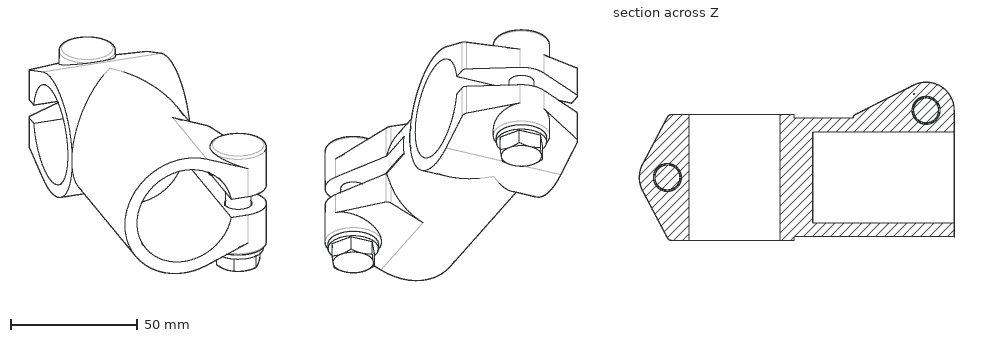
import cadquery as cq
import math


bore_diameter = 40.17
outer_radius = 50.4 / 2
head_width = 50.0
slot_width = 8.0

flank_angle = math.radians(22)
ear_corner_fillet = 2.0

boss_radius = 22.4 / 2
boss_half_height = 21.8
boss_edge_fillet = 1.0
bolt_offset = 26.6
ear_corner_offset = 26.1

overall_length = 124.9
arm_end = overall_length - bolt_offset - boss_radius
arm_cavity_start = 31.0
arm_ear_width = 40.2
arm_ear_start = arm_end - arm_ear_width
arm_corner_offset = 24.5
arm_bolt_x = arm_end - boss_radius

shank_diameter = 10.0
clearance_diameter = 11.0
shank_end_height = 15.0
washer_diameter = 20.0
washer_thickness = 2.0
hex_across_flats = 16.0
hex_height = 6.4
hex_half_sector = 30
hex_chamfer_angle = math.radians(30)

HEAD_BOLT = (-bolt_offset, 0)
ARM_BOLT = (arm_bolt_x, bolt_offset)


def cylinder_along_x(radius, start, end):
    return cq.Workplane("YZ", origin=(start, 0, 0)).circle(radius).extrude(end - start)


def cylinder_along_y(radius, length):
    return cq.Workplane("XZ").circle(radius).extrude(length / 2, both=True)


def cylinder_along_z(center, radius, bottom, top):
    return cq.Workplane("XY", origin=(*center, bottom)).circle(radius).extrude(top - bottom)


def boss_tangent_point(center, corner, side):
    """Point where the line from corner touches the boss; side (+1 or -1) picks the touching line."""
    dx = corner[0] - center[0]
    dy = corner[1] - center[1]
    angle = math.atan2(dy, dx) + side * math.acos(boss_radius / math.hypot(dx, dy))
    return center[0] + boss_radius * math.cos(angle), center[1] + boss_radius * math.sin(angle)


def ear_wedge(plane, near, far):
    """Prism between the two sloping flanks, from the bore axis out to the boss tip."""
    root_x = -outer_radius * math.sin(flank_angle)
    root_z = outer_radius * math.cos(flank_angle)
    tip_x = -(bolt_offset + boss_radius)
    tip_z = root_z - (root_x - tip_x) * math.tan(flank_angle)
    outline = [(0, 0), (root_x, root_z), (tip_x, tip_z), (tip_x, -tip_z), (root_x, -root_z)]
    return cq.Workplane(plane).workplane(offset=near).polyline(outline).close().extrude(far - near)


def corner_fillet(prism, corner):
    nearest = cq.selectors.NearestToPointSelector((*corner, 0))
    return prism.edges("|Z").edges(nearest).fillet(ear_corner_fillet)


def head_ear():
    """Symmetric ear on the -X side of the crosswise ring."""
    half_width = head_width / 2
    corner = (-ear_corner_offset, half_width)
    mirrored_corner = (-ear_corner_offset, -half_width)
    touch_x, touch_y = boss_tangent_point(HEAD_BOLT, corner, 1)
    plan = (
        cq.Workplane("XY")
        .moveTo(0, half_width)
        .lineTo(*corner)
        .lineTo(touch_x, touch_y)
        .threePointArc((-bolt_offset - boss_radius, 0), (touch_x, -touch_y))
        .lineTo(*mirrored_corner)
        .lineTo(0, -half_width)
        .close()
        .extrude(outer_radius, both=True)
    )
    plan = corner_fillet(plan, corner)
    plan = corner_fillet(plan, mirrored_corner)
    return plan.intersect(ear_wedge("XZ", -half_width, half_width))


def arm_ear():
    """One-sided ear on the +Y side of the arm, level with the arm end."""
    corner = (arm_ear_start, arm_corner_offset)
    touch = boss_tangent_point(ARM_BOLT, corner, -1)
    mid_angle = math.atan2(touch[1] - bolt_offset, touch[0] - arm_bolt_x) / 2
    arc_middle = (
        arm_bolt_x + boss_radius * math.cos(mid_angle),
        bolt_offset + boss_radius * math.sin(mid_angle),
    )
    plan = (
        cq.Workplane("XY")
        .moveTo(arm_ear_start, 0)
        .lineTo(*corner)
        .lineTo(*touch)
        .threePointArc(arc_middle, (arm_end, bolt_offset))
        .lineTo(arm_end, 0)
        .close()
        .extrude(outer_radius, both=True)
    )
    plan = corner_fillet(plan, corner)
    wedge_plane = cq.Plane(origin=(0, 0, 0), xDir=(0, -1, 0), normal=(-1, 0, 0))
    return plan.intersect(ear_wedge(wedge_plane, -arm_end, -arm_ear_start))


def boss(center):
    blank = cylinder_along_z(center, boss_radius, -boss_half_height, boss_half_height)
    return blank.faces("<Z or >Z").edges().fillet(boss_edge_fillet)


def bolt(center):
    """Shank, washer and hexagon head whose corners are rounded off by a cone."""
    washer_bottom = -boss_half_height - washer_thickness
    head_bottom = washer_bottom - hex_height
    corner_radius = hex_across_flats / 2 / math.cos(math.radians(hex_half_sector))
    hexagon = (
        cq.Workplane("XY", origin=(*center, head_bottom))
        .polygon(6, 2 * corner_radius)
        .extrude(hex_height)
        .rotate((*center, 0), (*center, 1), hex_half_sector)
    )
    chamfer_width = corner_radius - hex_across_flats / 2
    chamfer_height = chamfer_width * math.tan(hex_chamfer_angle)
    envelope = (
        cylinder_along_z(center, corner_radius, head_bottom, washer_bottom)
        .faces("<Z")
        .chamfer(chamfer_height, chamfer_width)
    )
    washer = cylinder_along_z(center, washer_diameter / 2, washer_bottom, -boss_half_height)
    shank = cylinder_along_z(center, shank_diameter / 2, washer_bottom, shank_end_height)
    return hexagon.intersect(envelope).union(washer).union(shank)


def clamp_body():
    ring = cylinder_along_y(outer_radius, head_width)
    arm = cylinder_along_x(outer_radius, 0, arm_end).cut(cylinder_along_y(outer_radius, 2 * head_width))
    body = ring.union(arm).union(head_ear()).union(arm_ear())
    return body.union(boss(HEAD_BOLT)).union(boss(ARM_BOLT))


def clamp_cavities():
    head_bore = cylinder_along_y(bore_diameter / 2, 2 * head_width)
    head_slot = cq.Workplane("XY", origin=(-2 * outer_radius, 0, 0)).box(
        2 * outer_radius, 2 * head_width, slot_width, centered=(False, True, True)
    )
    arm_bore = cylinder_along_x(bore_diameter / 2, arm_cavity_start, arm_end)
    arm_slot = cq.Workplane("XY", origin=(arm_cavity_start, 0, 0)).box(
        arm_end - arm_cavity_start, 2 * outer_radius, slot_width, centered=(False, False, True)
    )
    bolt_holes = [
        cylinder_along_z(center, clearance_diameter / 2, -boss_half_height, 0)
        for center in (HEAD_BOLT, ARM_BOLT)
    ]
    return [head_bore, head_slot, arm_bore, arm_slot, *bolt_holes]


result = clamp_body()
for cavity in clamp_cavities():
    result = result.cut(cavity)
for bolt_axis in (HEAD_BOLT, ARM_BOLT):
    result = result.union(bolt(bolt_axis))